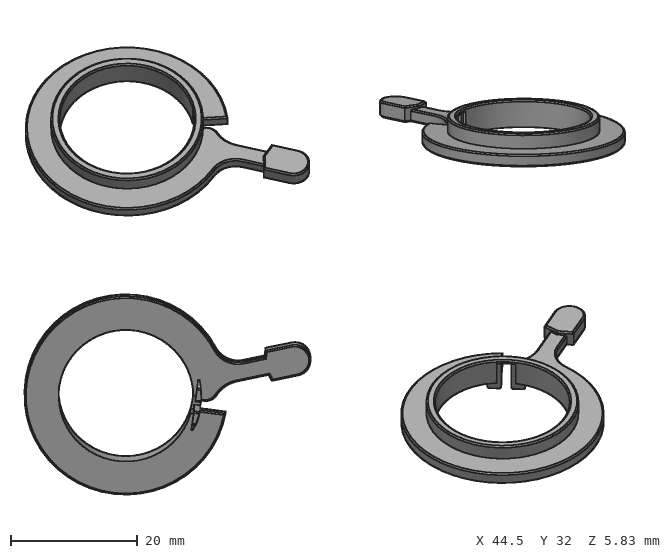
import cadquery as cq
import math

flange_radius = 16.0
flange_thickness = 2.0
boss_radius = 12.0
bore_radius = 10.6
boss_top = 4.4
edge_chamfer = 0.25

slot_angle = math.degrees(math.atan2(3, 4))
slot_half_width = 0.78
slot_top = 3.8
recess_half_width = 1.5
recess_radius = 10.95

foot_outer_radius = 11.9
foot_end = 3.0
foot_drop = 1.43
foot_fillet = 1.1
foot_chamfer = 0.25

arm_angle = 17.2
arm_half_width = 1.45
upper_fillet = 5.0
lower_fillet = 4.0
lobe_radius = 2.0
lobe_along_arm = 12.53
lobe_beside_arm = 1.58
pad_half_width = 2.5
pad_point = 22.3
pad_shoulder = 23.0
pad_arc_center = 27.22
pad_top = 2.6


def polar(radius, angle):
    """Point at a radius and an angle in radians."""
    return (radius * math.cos(angle), radius * math.sin(angle))


def toward(start, end, distance):
    """Point at a distance from start on the way to end."""
    length = math.dist(start, end)
    return tuple(s + (e - s) * distance / length for s, e in zip(start, end))


def arc_middle(center, start, end):
    """Middle of the short arc between two points around a center."""
    chord_middle = tuple((s + e) / 2 for s, e in zip(start, end))
    return toward(center, chord_middle, math.dist(center, start))


def make_flange_and_arm():
    """Slotted flange and arm, outlined with the arm along X."""
    slot = math.radians(slot_angle - arm_angle)

    def beside_slot(radius, offset):
        return polar(radius, slot + math.asin(offset / radius))

    slot_outer = beside_slot(flange_radius, slot_half_width)
    slot_inner_upper = beside_slot(bore_radius, slot_half_width)
    slot_inner_lower = beside_slot(bore_radius, -slot_half_width)
    lobe_start = beside_slot(boss_radius, -slot_half_width)

    lower_drop = arm_half_width + lower_fillet
    lower_run = math.sqrt((flange_radius + lower_fillet)**2 - lower_drop**2)
    lower_center = (lower_run, -lower_drop)
    lower_on_flange = toward((0, 0), lower_center, flange_radius)
    lower_on_arm = (lower_run, -arm_half_width)
    lower_middle = arc_middle(lower_center, lower_on_flange, lower_on_arm)

    lobe_center = (lobe_along_arm, lobe_beside_arm)
    upper_rise = arm_half_width + upper_fillet
    upper_run = math.sqrt((lobe_radius + upper_fillet)**2 - (upper_rise - lobe_beside_arm)**2)
    upper_center = (lobe_along_arm + upper_run, upper_rise)
    upper_on_arm = (upper_center[0], arm_half_width)
    upper_on_lobe = toward(lobe_center, upper_center, lobe_radius)
    upper_middle = arc_middle(upper_center, upper_on_lobe, upper_on_arm)
    lobe_middle = arc_middle(lobe_center, lobe_start, upper_on_lobe)

    return (
        cq.Workplane("XY")
        .moveTo(*slot_outer)
        .threePointArc((-flange_radius, 0), lower_on_flange)
        .threePointArc(lower_middle, lower_on_arm)
        .lineTo(pad_arc_center, -arm_half_width)
        .lineTo(pad_arc_center, arm_half_width)
        .lineTo(*upper_on_arm)
        .threePointArc(upper_middle, upper_on_lobe)
        .threePointArc(lobe_middle, lobe_start)
        .lineTo(*slot_inner_lower)
        .lineTo(*slot_inner_upper)
        .close()
        .extrude(flange_thickness)
        .faces("<Z or >Z")
        .chamfer(edge_chamfer)
    )


def make_pad():
    """Finger pad with a rounded tip and a pointed shoulder, along X."""
    return (
        cq.Workplane("XY")
        .moveTo(pad_point, 0)
        .lineTo(pad_shoulder, -pad_half_width)
        .lineTo(pad_arc_center, -pad_half_width)
        .threePointArc((pad_arc_center + pad_half_width, 0), (pad_arc_center, pad_half_width))
        .lineTo(pad_shoulder, pad_half_width)
        .close()
        .extrude(pad_top)
        .faces("<Z or >Z")
        .chamfer(edge_chamfer)
    )


def make_boss():
    return (
        cq.Workplane("XY")
        .circle(boss_radius)
        .extrude(boss_top)
        .faces(">Z")
        .chamfer(edge_chamfer)
    )


def make_bore():
    bore = cq.Workplane("XY").circle(bore_radius).extrude(boss_top)
    countersink = (
        cq.Workplane("XY")
        .workplane(offset=boss_top - edge_chamfer)
        .circle(bore_radius)
        .workplane(offset=edge_chamfer)
        .circle(bore_radius + edge_chamfer)
        .loft()
    )
    return bore.union(countersink)


def make_slot_cut():
    """Through slot and the wider flat recess inside it, along X."""
    slot = cq.Workplane("XY").box(
        boss_radius + edge_chamfer, 2 * slot_half_width, slot_top, centered=(False, True, False)
    )
    recess = cq.Workplane("XY").box(
        recess_radius, 2 * recess_half_width, slot_top, centered=(False, True, False)
    )
    return slot.union(recess)


def make_foot():
    """Foot beside the slot, flaring into the flange at its far end."""
    fillet_reach = foot_fillet * (1 - math.sqrt(0.5))
    blank = (
        cq.Workplane("YZ")
        .workplane(offset=recess_radius)
        .moveTo(slot_half_width, 0)
        .lineTo(slot_half_width, foot_chamfer - foot_drop)
        .lineTo(slot_half_width + foot_chamfer, -foot_drop)
        .lineTo(foot_end - foot_chamfer, -foot_drop)
        .lineTo(foot_end, foot_chamfer - foot_drop)
        .lineTo(foot_end, -foot_fillet)
        .threePointArc((foot_end + fillet_reach, -fillet_reach), (foot_end + foot_fillet, 0))
        .close()
        .extrude(foot_outer_radius - recess_radius)
    )
    outer_wall = (
        cq.Workplane("XY")
        .workplane(offset=-foot_drop)
        .circle(foot_outer_radius)
        .extrude(foot_drop)
    )
    return blank.intersect(outer_wall)


def turned(shape, angle):
    return shape.rotate((0, 0, 0), (0, 0, 1), angle)


lever = turned(make_flange_and_arm().union(make_pad()), arm_angle)
foot = make_foot()
feet = turned(foot.union(foot.mirror("XZ")), slot_angle)

result = lever.union(make_boss()).cut(make_bore())
result = result.cut(turned(make_slot_cut(), slot_angle)).union(feet)